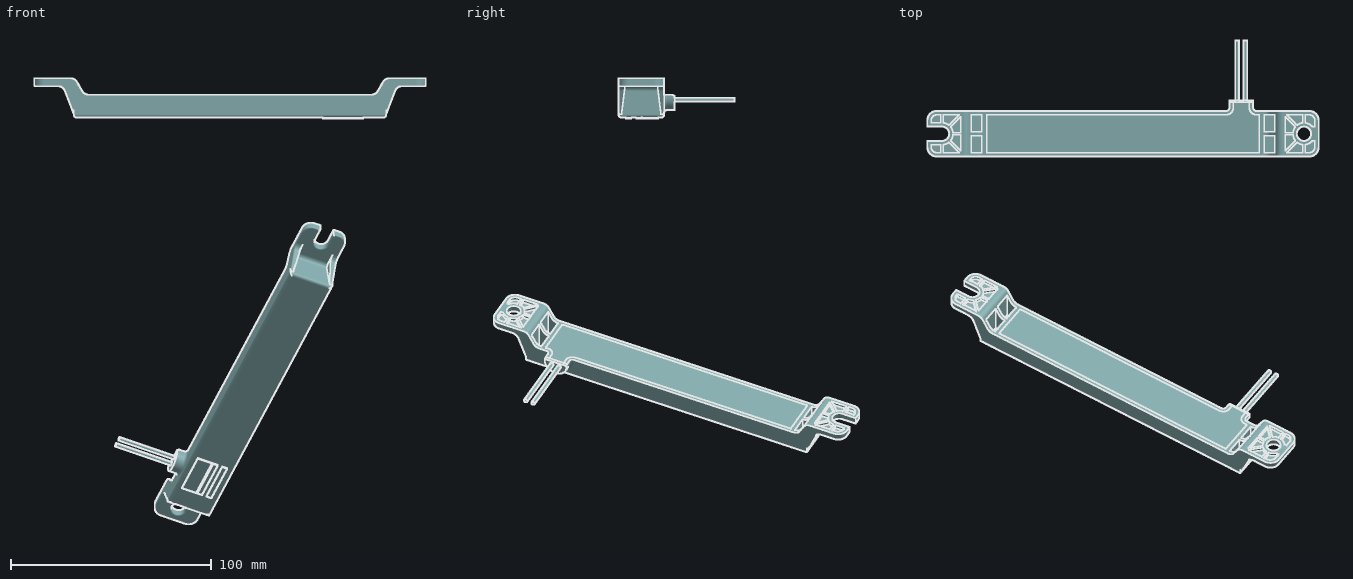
import cadquery as cq
import math

half_length = 97.5
width = 22.8
bar_top = -8.2
bar_bottom = -19.7
flange_thickness = 4.0
flange_corner_radius = 4.9
bend_radius = 3.5
wall = 2.0

upper_slope_start = 77.2
upper_slope_angle = 60.0
end_wall_x = 77.8
foot_height = 1.8
lower_slope_angle = 69.0
bottom_fillet = 1.5
flange_edge_fillet = 0.68

gusset_top_thickness = 3.3
gusset_bottom_thickness = 1.4
gusset_root_radius = 2.3

hole_x = 90.0
hole_diameter = 7.0

pocket_inner_x = 80.7
pocket_floor = -2.0
pocket_corner_radius = 3.0
rib_width = 1.2
spoke_angles = (135, 180, 225)

recess_outer_x = 75.7
recess_inner_x = 70.2
recess_floor = bar_bottom + wall
middle_rib_width = 1.8

cavity_half_length = 67.9
neck_x = 58.9
neck_width = 11.9
neck_end_y = 16.5
neck_axis_z = -10.0
neck_end_wall = 1.0
neck_end_bevel = 0.5
neck_blend_radius = 1.5

wire_diameter = 2.0
wire_pitch = 4.0
wire_z = -10.7
overall_depth = 58.0

strip_height = 0.5
strip_start_x = 46.2
strip_end_x = 66.3
strip_spans = [(-7.6, -4.9), (-2.5, 0.0), (0.5, 8.4)]

margin = 0.2


def slope_run(height, angle):
    """Horizontal travel of a slope at the given angle over the given height."""
    return height / math.tan(math.radians(angle))


def box_between(x0, x1, y0, y1, z0, z1):
    return cq.Workplane("XY").box(x1 - x0, y1 - y0, z1 - z0, centered=False).translate((x0, y0, z0))


def make_profile_body():
    """Bar and flanges as one bent profile with rounded bends and rounded flange corners."""
    upper_slope_foot = upper_slope_start - slope_run(-bar_top, upper_slope_angle)
    foot_top = bar_bottom + foot_height
    lower_slope_start = end_wall_x + slope_run(-flange_thickness - foot_top, lower_slope_angle)
    right_half = [
        (upper_slope_foot, bar_top),
        (upper_slope_start, 0),
        (half_length, 0),
        (half_length, -flange_thickness),
        (lower_slope_start, -flange_thickness),
        (end_wall_x, foot_top),
        (end_wall_x, bar_bottom),
    ]
    left_half = [(-x, z) for x, z in reversed(right_half)]
    body = cq.Workplane("XZ").polyline(right_half + left_half).close().extrude(width / 2, both=True)
    for x, z in [right_half[0], right_half[1], right_half[4]]:
        for side in (-1, 1):
            bend = cq.selectors.BoxSelector(
                (side * x - margin, -width, z - margin), (side * x + margin, width, z + margin))
            body = body.edges("|Y").edges(bend).fillet(bend_radius)
    return body.edges("|Z").edges("<X or >X").fillet(flange_corner_radius)


def cut_hole_and_slot(body):
    """Round hole in the right flange and a slot open to the end in the left one."""
    radius = hole_diameter / 2
    hole = cq.Workplane("XY").center(hole_x, 0).circle(radius).extrude(-flange_thickness)
    slot = hole.union(box_between(hole_x, half_length, -radius, radius, -flange_thickness, 0))
    return body.cut(hole).cut(slot.mirror("YZ"))


def round_lower_edges(body):
    """Round the bottom of the bar, then the lower rims of the flanges and of their slopes."""
    body = body.faces("<Z").edges().fillet(bottom_fillet)
    foot_top = bar_bottom + foot_height
    rims = [
        edge for edge in body.edges().vals()
        if foot_top < edge.Center().z < -flange_thickness + margin
        and abs(edge.Center().x) > end_wall_x
        and not is_bend_line(edge)
    ]
    return body.newObject(rims).fillet(flange_edge_fillet)


def is_bend_line(edge):
    """True for the straight lines across the full width where a rounded bend begins or ends."""
    return edge.geomType() == "LINE" and edge.Length() > width - margin


def end_recess():
    """Space between the two gussets under the +X flange, bounded by the end wall and the flange."""
    top_half = width / 2 - gusset_top_thickness
    bottom_half = width / 2 - gusset_bottom_thickness
    recess = (
        cq.Workplane("YZ", origin=(end_wall_x, 0, 0))
        .polyline([
            (-top_half, -flange_thickness),
            (top_half, -flange_thickness),
            (bottom_half, bar_bottom),
            (-bottom_half, bar_bottom),
        ])
        .close()
        .extrude(half_length - end_wall_x)
    )
    return recess.faces("<X").edges(">Z").fillet(gusset_root_radius)


def add_neck(body, face_y, end_y, neck_section_width, blend_radius):
    """Add the cable neck, flat on top and half round below, blended into the long side of a body."""
    radius = neck_section_width / 2
    neck = (
        cq.Workplane("XZ", origin=(neck_x, 0, 0))
        .moveTo(-radius, bar_top)
        .lineTo(radius, bar_top)
        .lineTo(radius, neck_axis_z)
        .threePointArc((0, neck_axis_z - radius), (-radius, neck_axis_z))
        .close()
        .extrude(-end_y)
    )
    joined = body.union(neck)
    junction = cq.selectors.BoxSelector(
        (neck_x - radius - margin, face_y - margin, bar_bottom),
        (neck_x + radius + margin, face_y + margin, bar_top - margin))
    return joined.edges(junction).fillet(blend_radius)


def make_filling():
    """Potting compound that fills the cavity and the neck, flush with the bar top."""
    floor = bar_bottom + wall
    half_width = width / 2 - wall
    block = (
        cq.Workplane("XY", origin=(0, 0, floor))
        .rect(2 * cavity_half_length, 2 * half_width)
        .extrude(bar_top - floor)
    )
    return add_neck(
        block, half_width, neck_end_y - neck_end_wall, neck_width - 2 * wall, neck_blend_radius + wall)


def flange_pockets(outer_web):
    """Pockets of the +X flange: a rounded field less the ribs, the hub and the given web."""
    half_width = width / 2 - wall
    outer_x = half_length - wall
    depth = -pocket_floor
    field = box_between(pocket_inner_x, outer_x, -half_width, half_width, pocket_floor, 0)
    field = field.edges("|Z and >X").fillet(pocket_corner_radius)
    floor_plane = cq.Workplane("XY", origin=(hole_x, 0, pocket_floor))
    ribs = floor_plane.rect(rib_width, width).extrude(depth)
    for angle in spoke_angles:
        spoke = floor_plane.center(width / 2, 0).rect(width, rib_width).extrude(depth)
        ribs = ribs.union(spoke.rotate((hole_x, 0, 0), (hole_x, 0, 1), angle))
    hub = floor_plane.circle(hole_diameter / 2 + wall).extrude(depth)
    return field.cut(ribs).cut(hub).cut(outer_web)


def slope_recesses():
    """The two recesses of the +X upper slope, either side of its middle rib."""
    half_width = width / 2 - wall
    recess = box_between(recess_inner_x, recess_outer_x, middle_rib_width / 2, half_width, recess_floor, 0)
    return recess.union(recess.mirror("XZ"))


def make_housing(filling):
    housing = round_lower_edges(cut_hole_and_slot(make_profile_body()))
    housing = housing.cut(end_recess()).cut(end_recess().mirror("YZ"))
    housing = add_neck(housing, width / 2, neck_end_y, neck_width, neck_blend_radius)
    housing = housing.faces(">Y").edges(">Z").chamfer(neck_end_wall, neck_end_bevel)

    hole_half = hole_diameter / 2
    slot_half = hole_half + wall
    hole_web = box_between(hole_x, half_length, -hole_half, hole_half, pocket_floor, 0)
    slot_web = box_between(hole_x, half_length, -slot_half, slot_half, pocket_floor, 0)
    housing = housing.cut(flange_pockets(hole_web)).cut(flange_pockets(slot_web).mirror("YZ"))

    housing = housing.cut(slope_recesses()).cut(slope_recesses().mirror("YZ"))

    for low_y, high_y in strip_spans:
        strip = box_between(strip_start_x, strip_end_x, low_y, high_y, bar_bottom - strip_height, bar_bottom)
        housing = housing.union(strip)
    return housing.cut(filling)


def make_wire(x, start_y):
    """Straight wire from the end of the filling, through the neck end wall, outwards along +Y."""
    return (
        cq.Workplane("XZ", origin=(x, start_y, wire_z))
        .circle(wire_diameter / 2)
        .extrude(-(overall_depth - width / 2 - start_y))
    )


def make_wires():
    start_y = neck_end_y - neck_end_wall
    wires = []
    for side in (-1, 1):
        wires.append(make_wire(neck_x + side * wire_pitch / 2, start_y))
    return wires


filling = make_filling()
wires = make_wires()
housing = make_housing(filling)
for wire in wires:
    housing = housing.cut(wire)

result = cq.Compound.makeCompound([housing.val(), filling.val(), *[wire.val() for wire in wires]])